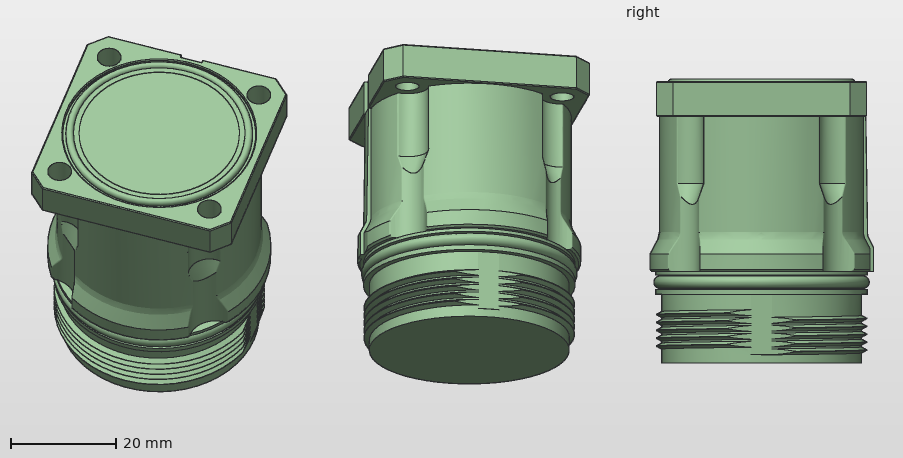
import cadquery as cq
import math

FLANGE_BOTTOM_Z = 46.95
FLANGE_TOP_Z = 53.6
FACE_SEAL_TOP_Z = 54.06

FLANGE_SIDE = 40.0
FLANGE_CORNER_CHAMFER = 3.2
FLANGE_EDGE_CHAMFER = 0.2
HOLE_DIAMETER = 4.5
HOLE_OFFSET = 15.0

NOTCH_WIDTH = 4.3
NOTCH_FLOOR_Y = 19.25
KEY_TIP_Y = 21.3
KEY_RIB_Y = 20.2
KEY_RIB_TOP_Y = 19.85
KEY_ROOT_DEPTH = 1.0
KEY_TOP_WIDTH = 2.5
KEY_BASE_WIDTH = 3.2
KEY_SHOULDER_Z = 22.0
KEY_FLARE_Z = 24.2
SHOULDER_FLAT_Y = 20.65

TUBE_RADIUS = 19.45
SHOULDER_RADIUS = 21.23
SHOULDER_BOTTOM_Z = 17.4
SHOULDER_RIM_Z = 20.75
SHOULDER_CONE_TOP_Z = 24.15
SHOULDER_EDGE_CHAMFER = 0.4
SHOULDER_FILLET = 3.0

COLLAR_RADIUS = 20.15
COLLAR_BOTTOM_Z = 13.1
SEAL_GROOVE_RADIUS = 18.9
SEAL_GROOVE_BOTTOM_Z = 14.05
SEAL_GROOVE_TOP_Z = 16.75
SEAL_RING_RADIUS = 19.3
SEAL_CORD_RADIUS = 1.2

FACE_GROOVE_RADIUS = 18.35
FACE_GROOVE_INNER_RADIUS = 16.3
FACE_GROOVE_DEPTH = 0.6
FACE_GROOVE_CHAMFER = 0.2
FACE_SEAL_RADIUS = 17.05
FACE_SEAL_CORD_RADIUS = 0.75
DISC_RADIUS = 15.25
DISC_RECESS = 0.1

NECK_RADIUS = 19.03
THREAD_CREST_RADIUS = 20.03
THREAD_PITCH = 1.5
THREAD_TURNS = 5
THREAD_START_Z = 2.125
THREAD_BASE_WIDTH = 1.15
THREAD_CREST_WIDTH = 0.1
THREAD_ROOT_OVERLAP = 0.3
FLAT_WIDTH = 4.0
FLAT_X = math.sqrt(NECK_RADIUS**2 - (FLAT_WIDTH / 2) ** 2)
FLAT_BOTTOM_Z = 1.6

CLEARANCE = 5.0
TOLERANCE = 0.01

RELIEF_RADIUS = 4.05
RELIEF_TAPER_TOP_Z = 34.2
RELIEF_TAPER_ANGLE = 20.0
RELIEF_TAPER_END_RADIUS = 2.0
LOWER_RELIEF_WALL = 11.7
LOWER_RELIEF_RADIUS = 5.0
RELIEF_EDGE_FILLET = 0.3
RELIEF_HALF_ANGLE = 18.0


def cylinder(radius, bottom, top, x=0.0, y=0.0):
    return cq.Workplane("XY", origin=(x, y, bottom)).circle(radius).extrude(top - bottom)


def ring(radius, cord_radius, z):
    """Round seal ring about the Z axis."""
    return cq.Workplane("XZ").center(radius, z).circle(cord_radius).revolve(360, (-radius, 0, 0), (-radius, 1, 0))


def make_upper_body():
    """Tube and conical shoulder, with the four screw relief grooves and the key."""
    profile = [
        (0, SHOULDER_BOTTOM_Z),
        (SHOULDER_RADIUS - SHOULDER_EDGE_CHAMFER, SHOULDER_BOTTOM_Z),
        (SHOULDER_RADIUS, SHOULDER_BOTTOM_Z + SHOULDER_EDGE_CHAMFER),
        (SHOULDER_RADIUS, SHOULDER_RIM_Z),
        (TUBE_RADIUS, SHOULDER_CONE_TOP_Z),
        (TUBE_RADIUS, FLANGE_BOTTOM_Z),
        (0, FLANGE_BOTTOM_Z),
    ]
    body = cq.Workplane("XZ").polyline(profile).close().revolve(360, (0, 0, 0), (0, 1, 0))
    cone_top_point = (0, 0, SHOULDER_CONE_TOP_Z)
    body = body.edges(cq.selectors.NearestToPointSelector(cone_top_point)).fillet(SHOULDER_FILLET)

    relief = make_screw_relief()
    for quarter in range(4):
        body = body.cut(relief.rotate((0, 0, 0), (0, 0, 1), 90 * quarter))
    rims = [edge for edge in body.edges().vals() if is_relief_rim(edge)]
    body = body.newObject(rims).fillet(RELIEF_EDGE_FILLET)

    flat_cut = cq.Workplane("XY").box(
        FLANGE_SIDE, CLEARANCE, SHOULDER_CONE_TOP_Z, centered=(True, False, False)
    )
    body = body.cut(flat_cut.translate((0, SHOULDER_FLAT_Y, 0)))
    return body.union(make_key())


def make_screw_relief():
    """Wide bore under the flange hole, tapering into an open corner pocket down to the collar."""
    wide = cylinder(RELIEF_RADIUS, RELIEF_TAPER_TOP_Z, FLANGE_BOTTOM_Z, HOLE_OFFSET, HOLE_OFFSET)
    taper_height = (RELIEF_RADIUS - RELIEF_TAPER_END_RADIUS) / math.tan(math.radians(RELIEF_TAPER_ANGLE))
    taper = (
        cq.Workplane("XY", origin=(HOLE_OFFSET, HOLE_OFFSET, RELIEF_TAPER_TOP_Z - taper_height))
        .circle(RELIEF_TAPER_END_RADIUS)
        .workplane(offset=taper_height)
        .circle(RELIEF_RADIUS)
        .loft()
    )
    pocket = cq.Workplane("XY", origin=(LOWER_RELIEF_WALL, LOWER_RELIEF_WALL, SHOULDER_BOTTOM_Z)).box(
        SHOULDER_RADIUS, SHOULDER_RADIUS, RELIEF_TAPER_TOP_Z - SHOULDER_BOTTOM_Z, centered=False
    )
    pocket = pocket.edges("|Z and <X and <Y").fillet(LOWER_RELIEF_RADIUS)
    return wide.union(taper).union(pocket)


def is_relief_rim(edge):
    """True for the edges where a screw relief breaks out through the outer surface."""
    middle = edge.positionAt(0.5)
    angle_from_diagonal = math.degrees(math.atan2(middle.y, middle.x)) % 90 - 45
    on_relief = 0 < abs(angle_from_diagonal) < RELIEF_HALF_ANGLE
    outside = math.hypot(middle.x, middle.y) > TUBE_RADIUS - TOLERANCE
    runs_upward = abs(edge.startPoint().z - edge.endPoint().z) > TOLERANCE
    return on_relief and outside and runs_upward


def make_key():
    """Tapered key on the shoulder that continues as a low rib up the tube."""
    root_y = TUBE_RADIUS - KEY_ROOT_DEPTH
    side = [
        (root_y, SHOULDER_BOTTOM_Z),
        (KEY_TIP_Y, SHOULDER_BOTTOM_Z),
        (KEY_TIP_Y, KEY_SHOULDER_Z),
        (KEY_RIB_Y, KEY_FLARE_Z),
        (KEY_RIB_TOP_Y, FLANGE_BOTTOM_Z),
        (root_y, FLANGE_BOTTOM_Z),
    ]
    blank = cq.Workplane("YZ").polyline(side).close().extrude(KEY_BASE_WIDTH, both=True)
    section = [
        (-KEY_BASE_WIDTH / 2, root_y),
        (-KEY_BASE_WIDTH / 2, KEY_RIB_TOP_Y),
        (-KEY_TOP_WIDTH / 2, KEY_TIP_Y),
        (KEY_TOP_WIDTH / 2, KEY_TIP_Y),
        (KEY_BASE_WIDTH / 2, KEY_RIB_TOP_Y),
        (KEY_BASE_WIDTH / 2, root_y),
    ]
    return blank.intersect(cq.Workplane("XY").polyline(section).close().extrude(FLANGE_TOP_Z))


def make_flange():
    """Square flange with screw holes, keyway notch, face seal and closing disc."""
    flange = cq.Workplane("XY", origin=(0, 0, FLANGE_BOTTOM_Z)).rect(FLANGE_SIDE, FLANGE_SIDE)
    flange = flange.extrude(FLANGE_TOP_Z - FLANGE_BOTTOM_Z)
    flange = flange.edges("|Z").chamfer(FLANGE_CORNER_CHAMFER)
    flange = flange.faces("<Z or >Z").edges().chamfer(FLANGE_EDGE_CHAMFER)
    for x in (-HOLE_OFFSET, HOLE_OFFSET):
        for y in (-HOLE_OFFSET, HOLE_OFFSET):
            flange = flange.cut(cylinder(HOLE_DIAMETER / 2, FLANGE_BOTTOM_Z, FLANGE_TOP_Z, x, y))
    notch = cq.Workplane("XY", origin=(0, NOTCH_FLOOR_Y, FLANGE_BOTTOM_Z)).box(
        NOTCH_WIDTH, CLEARANCE, FLANGE_TOP_Z - FLANGE_BOTTOM_Z, centered=(True, False, False)
    )
    flange = flange.cut(notch)

    groove_floor_z = FLANGE_TOP_Z - FACE_GROOVE_DEPTH
    groove_profile = [
        (FACE_GROOVE_INNER_RADIUS, groove_floor_z),
        (FACE_GROOVE_RADIUS, groove_floor_z),
        (FACE_GROOVE_RADIUS, FLANGE_TOP_Z - FACE_GROOVE_CHAMFER),
        (FACE_GROOVE_RADIUS + FACE_GROOVE_CHAMFER, FLANGE_TOP_Z),
        (FACE_GROOVE_INNER_RADIUS, FLANGE_TOP_Z),
    ]
    groove = cq.Workplane("XZ").polyline(groove_profile).close().revolve(360, (0, 0, 0), (0, 1, 0))
    flange = flange.cut(groove)
    flange = flange.cut(cylinder(DISC_RADIUS, FLANGE_TOP_Z - DISC_RECESS, FLANGE_TOP_Z))
    seal = ring(FACE_SEAL_RADIUS, FACE_SEAL_CORD_RADIUS, FACE_SEAL_TOP_Z - FACE_SEAL_CORD_RADIUS)
    return flange.union(seal)


def make_collar():
    """Collar with a groove holding the radial seal ring."""
    collar = cylinder(COLLAR_RADIUS, COLLAR_BOTTOM_Z, SHOULDER_BOTTOM_Z)
    groove = cylinder(COLLAR_RADIUS, SEAL_GROOVE_BOTTOM_Z, SEAL_GROOVE_TOP_Z).cut(
        cylinder(SEAL_GROOVE_RADIUS, SEAL_GROOVE_BOTTOM_Z, SEAL_GROOVE_TOP_Z)
    )
    seal_z = (SEAL_GROOVE_BOTTOM_Z + SEAL_GROOVE_TOP_Z) / 2
    return collar.cut(groove).union(ring(SEAL_RING_RADIUS, SEAL_CORD_RADIUS, seal_z))


def make_thread():
    """Right-hand helical ridge that starts and ends on the +X side."""
    height = THREAD_PITCH * THREAD_TURNS
    path = cq.Wire.makeHelix(THREAD_PITCH, height, NECK_RADIUS, cq.Vector(0, 0, THREAD_START_Z))
    root_radius = NECK_RADIUS - THREAD_ROOT_OVERLAP
    flank_slope = (THREAD_BASE_WIDTH - THREAD_CREST_WIDTH) / 2 / (THREAD_CREST_RADIUS - NECK_RADIUS)
    half_root = THREAD_BASE_WIDTH / 2 + flank_slope * THREAD_ROOT_OVERLAP
    half_crest = THREAD_CREST_WIDTH / 2
    section = [
        (root_radius, THREAD_START_Z - half_root),
        (THREAD_CREST_RADIUS, THREAD_START_Z - half_crest),
        (THREAD_CREST_RADIUS, THREAD_START_Z + half_crest),
        (root_radius, THREAD_START_Z + half_root),
    ]
    return cq.Workplane("XZ").polyline(section).close().sweep(cq.Workplane(path), isFrenet=True)


def make_neck():
    """Threaded neck with a flat on each X side, running up to the collar."""
    neck = cylinder(NECK_RADIUS, 0, COLLAR_BOTTOM_Z).union(make_thread())
    flat_cut = cq.Workplane("XY", origin=(FLAT_X, 0, FLAT_BOTTOM_Z)).box(
        CLEARANCE, FLANGE_SIDE, COLLAR_BOTTOM_Z - FLAT_BOTTOM_Z, centered=(False, True, False)
    )
    for angle in (0, 180):
        neck = neck.cut(flat_cut.rotate((0, 0, 0), (0, 0, 1), angle))
    return neck


result = make_neck().union(make_collar()).union(make_upper_body()).union(make_flange())